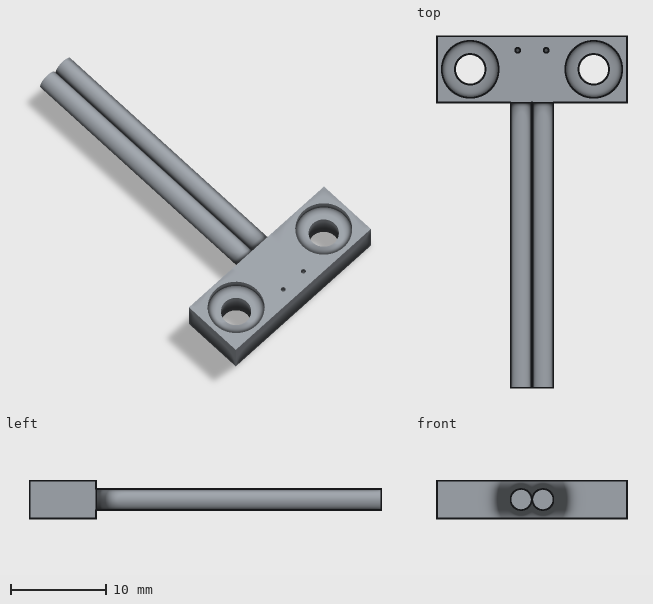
import cadquery as cq

block_width = 20.0
block_depth = 7.0
block_height = 4.0

mount_spacing = 13.0
mount_hole_diameter = 3.2
counterbore_diameter = 6.0
counterbore_depth = 1.0

pin_spacing = 3.0
pin_offset_y = 2.0
pin_diameter = 0.5
pin_depth = 0.5

total_length = 37.0
cable_length = total_length - block_depth
cable_diameter = 2.22
cable_spacing = 2.3


def mirrored_pair(spacing, y=0):
    """Two points spaced evenly about the YZ plane."""
    return [(-spacing / 2, y), (spacing / 2, y)]


block = cq.Workplane("XY").box(block_width, block_depth, block_height)

block = (
    block.faces(">Z").workplane(origin=(0, 0, 0))
    .pushPoints(mirrored_pair(mount_spacing))
    .cboreHole(mount_hole_diameter, counterbore_diameter, counterbore_depth)
)

block = (
    block.faces(">Z").workplane(origin=(0, 0, 0))
    .pushPoints(mirrored_pair(pin_spacing, pin_offset_y))
    .hole(pin_diameter, pin_depth)
)

cables = (
    cq.Workplane("XZ", origin=(0, -block_depth / 2, 0))
    .pushPoints(mirrored_pair(cable_spacing))
    .circle(cable_diameter / 2)
    .extrude(cable_length)
)

result = block.union(cables)